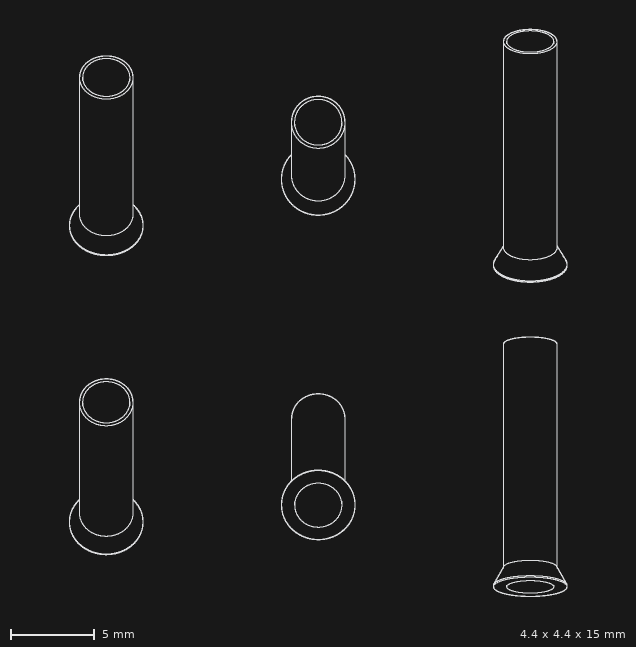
import cadquery as cq

length = 15.0
tube_diameter = 3.2
bore_diameter = 2.8
flange_diameter = 4.4

foot_height = 1.2
rim_height = 0.09

tube_radius = tube_diameter / 2
bore_radius = bore_diameter / 2
flange_radius = flange_diameter / 2

half_section = (
    cq.Workplane("XZ")
    .moveTo(bore_radius, 0)
    .lineTo(flange_radius, 0)
    .lineTo(flange_radius, rim_height)
    .lineTo(tube_radius, foot_height)
    .lineTo(tube_radius, length)
    .lineTo(bore_radius, length)
    .close()
)

result = half_section.revolve(360, (0, 0, 0), (0, 1, 0))